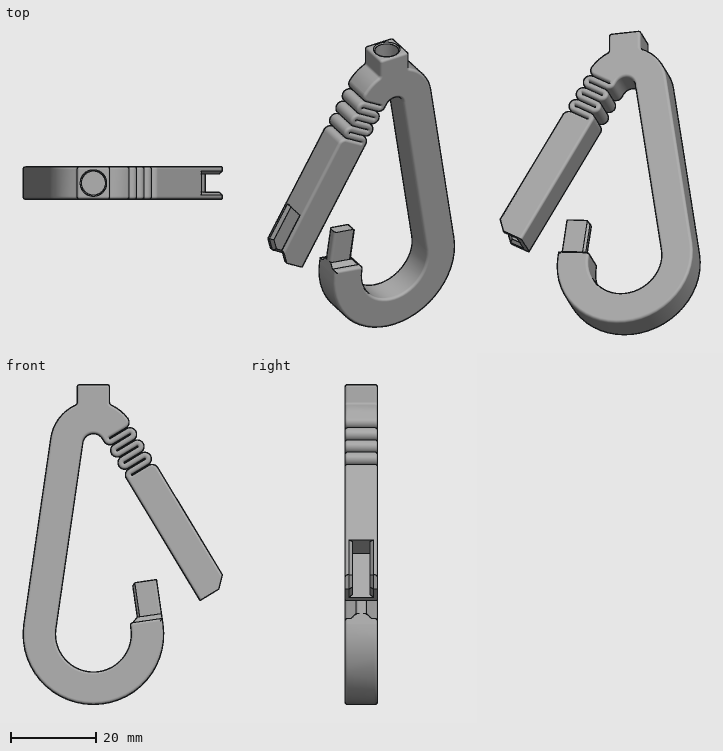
import cadquery as cq
import math


bar = 7.65
bottom_outer = 16.5
bottom_inner = bottom_outer - bar
top_outer = 10.1
top_inner = top_outer - bar
overall_height = 74.9
bend_spacing = 44.4
edge_radius = 0.65
spine_angle = math.asin((bottom_outer - top_outer) / bend_spacing)

post_top = overall_height - bottom_outer
post_half = bar / 2
post_root_radius = 0.7
bore_diameter = 5.6
bore_depth = 7.5
bore_chamfer = 0.3

gate_angle = math.radians(31.1)
gate_end = 44.2
gate_corner = 2.5
fold_count = 7
fold_gap = 0.19
first_fold = 0.75
last_fold = 10.8
fold_pitch = (last_fold - first_fold) / (fold_count - 1)
lobe_radius = fold_pitch - fold_gap / 2
lobe_sag = lobe_radius * (1 - math.sqrt(0.5))

pocket_length = 12
pocket_floor = 1.5
pocket_width = 4.2
pocket_chamfer = 0.75

shoulder_height = 1.35
flare_height = 1.1
flare_spread = 1.1
tongue_top = 10.6
tongue_width = 5.8
tongue_thickness = 2.5
tongue_side_chamfer = 0.6
tongue_tip_chamfer = 0.7

near_distance = 0.01


def polar(center_z, radius, angle):
    """Point at an angle from +X on a circle centred on the Z axis."""
    return (radius * math.cos(angle), center_z + radius * math.sin(angle))


def gate_point(across, along):
    """Point of the gate: distance across from the top bend centre, distance along the gate."""
    x = across * math.cos(gate_angle) + along * math.sin(gate_angle)
    z = bend_spacing + across * math.sin(gate_angle) - along * math.cos(gate_angle)
    return (x, z)


def hook_point(radius, height):
    """Point of the hook end: radius from the bottom bend centre, height past the bend."""
    x, z = polar(0, radius, spine_angle)
    return (x - height * math.sin(spine_angle), z + height * math.cos(spine_angle))


def round_into_gap(path, side, far, along, step):
    """Round the lobe before a gap, turning from gate edge `side` toward edge `far`."""
    inward = math.copysign(1, far - side)
    return path.threePointArc(
        gate_point(side + inward * lobe_sag, along - step * (fold_gap / 2 + lobe_sag)),
        gate_point(side + inward * lobe_radius, along - step * fold_gap / 2),
    )


def trace_gap(path, side, far, along, step):
    """Trace a gap to its round tip near edge `far`, back out, and around the next lobe."""
    inward = math.copysign(1, far - side)
    mouth = side + inward * lobe_radius
    tip = far - inward * lobe_radius
    half_gap = step * fold_gap / 2
    return (
        path.lineTo(*gate_point(tip, along - half_gap))
        .threePointArc(gate_point(tip + inward * fold_gap / 2, along), gate_point(tip, along + half_gap))
        .lineTo(*gate_point(mouth, along + half_gap))
        .threePointArc(
            gate_point(side + inward * lobe_sag, along + half_gap + step * lobe_sag),
            gate_point(side, along + half_gap + step * lobe_radius),
        )
    )


def frame_outline():
    spine_side = math.pi - spine_angle
    folds = [first_fold + fold_pitch * i for i in range(fold_count)]

    root_x = post_half + post_root_radius
    root_angle = math.acos(root_x / (top_outer + post_root_radius))
    root_z = bend_spacing + (top_outer + post_root_radius) * math.sin(root_angle)
    root_x_out, root_z_out = polar(bend_spacing, top_outer, root_angle)
    root_mid_angle = math.pi + root_angle / 2
    root_mid_x = root_x + post_root_radius * math.cos(root_mid_angle)
    root_mid_z = root_z + post_root_radius * math.sin(root_mid_angle)

    end_along = folds[0] - fold_gap / 2 - lobe_radius
    end_turn = math.asin(end_along / (top_outer - lobe_radius))
    end_across = (top_outer - lobe_radius) * math.cos(end_turn)
    end_angle = gate_angle - end_turn
    end_mid_turn = (end_turn + math.pi / 2) / 2

    path = (
        cq.Workplane("XZ")
        .moveTo(*polar(0, bottom_outer, spine_side))
        .lineTo(*polar(bend_spacing, top_outer, spine_side))
        .threePointArc(
            polar(bend_spacing, top_outer, (spine_side + math.pi - root_angle) / 2),
            (-root_x_out, root_z_out),
        )
        .threePointArc((-root_mid_x, root_mid_z), (-post_half, root_z))
        .lineTo(-post_half, post_top)
        .lineTo(post_half, post_top)
        .lineTo(post_half, root_z)
        .threePointArc((root_mid_x, root_mid_z), (root_x_out, root_z_out))
        .threePointArc(
            polar(bend_spacing, top_outer, (root_angle + end_angle) / 2),
            polar(bend_spacing, top_outer, end_angle),
        )
        .threePointArc(
            gate_point(
                end_across + lobe_radius * math.cos(end_mid_turn),
                end_along + lobe_radius * math.sin(end_mid_turn),
            ),
            gate_point(end_across, folds[0] - fold_gap / 2),
        )
    )

    path = trace_gap(path, top_outer, top_inner, folds[0], 1)
    for along in folds[2::2]:
        path = round_into_gap(path, top_outer, top_inner, along, 1)
        path = trace_gap(path, top_outer, top_inner, along, 1)

    path = (
        path.lineTo(*gate_point(top_outer, gate_end - gate_corner))
        .lineTo(*gate_point(top_outer - gate_corner, gate_end))
        .lineTo(*gate_point(top_inner, gate_end))
        .lineTo(*gate_point(top_inner, folds[-1]))
    )
    for along in folds[-2::-2]:
        path = round_into_gap(path, top_inner, top_outer, along, -1)
        path = trace_gap(path, top_inner, top_outer, along, -1)

    return (
        path.lineTo(*gate_point(top_inner, 0))
        .threePointArc(
            polar(bend_spacing, top_inner, (gate_angle + spine_side) / 2),
            polar(bend_spacing, top_inner, spine_side),
        )
        .lineTo(*polar(0, bottom_inner, spine_side))
        .threePointArc((0, -bottom_inner), hook_point(bottom_inner, 0))
        .lineTo(*hook_point(bottom_inner, shoulder_height))
        .lineTo(*hook_point(bottom_outer, shoulder_height))
        .lineTo(*hook_point(bottom_outer, 0))
        .threePointArc((0, -bottom_outer), polar(0, bottom_outer, spine_side))
        .close()
    )


def near(edge, point):
    """Whether the centre of an edge lies over a point of the X-Z plane."""
    center = edge.Center()
    return math.hypot(center.x - point[0], center.z - point[1]) < near_distance


def midpoint(a, b):
    return ((a[0] + b[0]) / 2, (a[1] + b[1]) / 2)


def rounded_frame():
    frame = frame_outline().extrude(bar / 2, both=True)
    gate_end_points = [
        gate_point(top_outer, gate_end - gate_corner),
        gate_point(top_outer - gate_corner, gate_end),
        gate_point(top_inner, gate_end),
    ]
    sharp = [midpoint(a, b) for a, b in zip(gate_end_points, gate_end_points[1:])]
    crosswise = [
        (-post_half, post_top),
        (post_half, post_top),
        hook_point(bottom_inner, shoulder_height),
    ]
    rim = [e for e in frame.edges("<Y or >Y").vals() if not any(near(e, p) for p in sharp)]
    rim += [e for e in frame.edges("|Y").vals() if any(near(e, p) for p in crosswise)]
    return frame.newObject(rim).fillet(edge_radius)


def post_bore():
    mouth_radius = bore_diameter / 2 + bore_chamfer
    return (
        cq.Workplane("XZ")
        .moveTo(0, post_top)
        .lineTo(mouth_radius, post_top)
        .lineTo(bore_diameter / 2, post_top - bore_chamfer)
        .lineTo(bore_diameter / 2, post_top - bore_depth)
        .lineTo(0, post_top - bore_depth)
        .close()
        .revolve(360, (0, 0, 0), (0, 1, 0))
    )


def latch_pocket():
    x, z = gate_point(0, gate_end - pocket_length)
    section = cq.Plane(
        origin=(x, 0, z),
        xDir=(math.cos(gate_angle), 0, math.sin(gate_angle)),
        normal=(math.sin(gate_angle), 0, -math.cos(gate_angle)),
    )
    depth = bar - pocket_floor
    return (
        cq.Workplane(section)
        .center(top_outer - depth / 2, 0)
        .rect(depth, pocket_width)
        .extrude(pocket_length)
    )


def cut_latch_pocket(frame):
    """Cut the pocket and bevel its two side walls where they meet the outside of the gate."""
    frame = frame.cut(latch_pocket())
    mouth_points = [
        gate_point(top_outer, gate_end - pocket_length),
        gate_point(top_outer, gate_end - gate_corner),
        gate_point(top_outer - gate_corner, gate_end),
        gate_point(top_inner + pocket_floor, gate_end),
    ]
    mouth = [midpoint(a, b) for a, b in zip(mouth_points, mouth_points[1:])]
    edges = [
        e
        for e in frame.edges().vals()
        if any(near(e, p) for p in mouth) and abs(e.Center().y) < pocket_width / 2 + near_distance
    ]
    return frame.newObject(edges).chamfer(pocket_chamfer)


def latch_tongue():
    base = shoulder_height + flare_height
    flare_length = bar - edge_radius
    flare = (
        cq.Workplane("XY", origin=(0, 0, shoulder_height))
        .center(-flare_length / 2, 0)
        .rect(flare_length, tongue_thickness + 2 * flare_spread)
        .workplane(offset=flare_height)
        .center((flare_length - tongue_width) / 2, 0)
        .rect(tongue_width, tongue_thickness)
        .loft(ruled=True)
    )
    blade = (
        cq.Workplane("XY", origin=(-tongue_width / 2, 0, base))
        .rect(tongue_width, tongue_thickness)
        .extrude(tongue_top - base)
        .edges("|Z and >X")
        .fillet(edge_radius)
        .edges("|Z and <X")
        .chamfer(tongue_side_chamfer)
        .faces("<X")
        .edges(">Z")
        .chamfer(tongue_tip_chamfer)
    )
    x, z = hook_point(bottom_outer, 0)
    tilt = cq.Plane(
        origin=(x, 0, z),
        xDir=(math.cos(spine_angle), 0, math.sin(spine_angle)),
        normal=(-math.sin(spine_angle), 0, math.cos(spine_angle)),
    )
    return cq.Workplane(flare.union(blade).val().located(cq.Location(tilt)))


result = cut_latch_pocket(rounded_frame()).cut(post_bore()).union(latch_tongue()).solids()